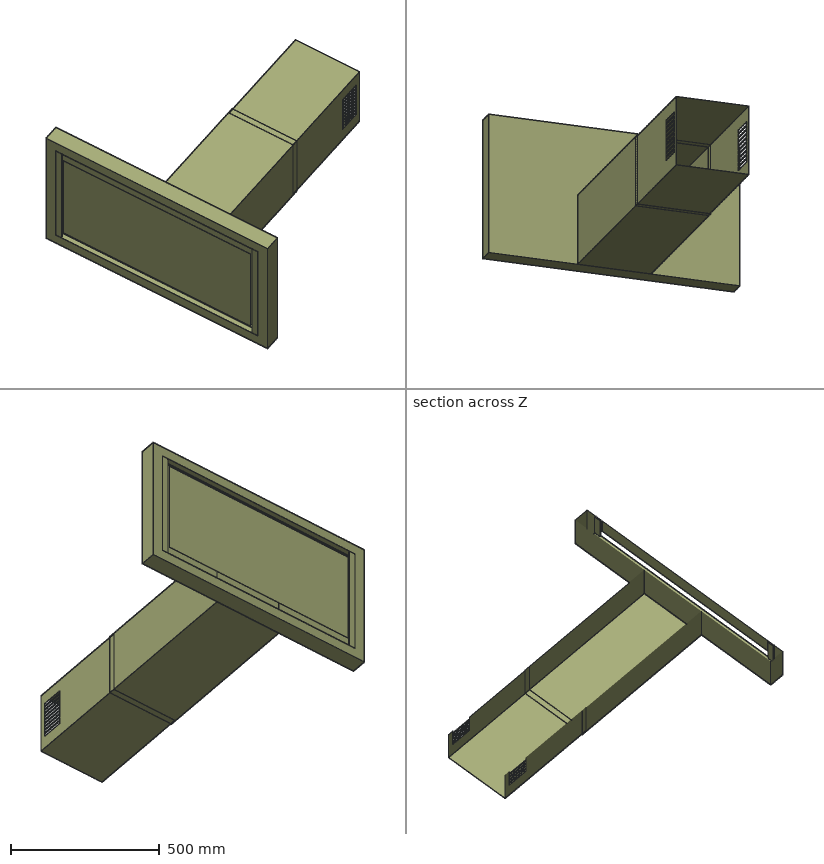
import cadquery as cq

overall_length = 1027.0
sheet = 1.0

canopy_width = 898.0
canopy_height = 500.0
canopy_depth = 61.0

canopy_rim = 40.0
lip_depth = 20.0
strip_width = 24.0
strip_thickness = 6.0

panel_width = 758.0
panel_height = 360.0

lower_duct_width = 263.0
lower_duct_height = 251.0
lower_duct_end = 648.0
duct_overlap = 21.0
duct_clearance = 0.5

slot_count = 10
slot_height = 10.0
slot_length = 82.0
slot_end_margin = 21.0
vent_height = 145.0
vent_middle = 127.0

opening_width = canopy_width - 2 * canopy_rim
opening_height = canopy_height - 2 * canopy_rim
canopy_middle = canopy_height / 2
duct_middle = lower_duct_height / 2
upper_duct_width = lower_duct_width - 2 * (sheet + duct_clearance)
upper_duct_height = lower_duct_height - 2 * (sheet + duct_clearance)
upper_duct_start = lower_duct_end - duct_overlap
slot_pitch = (vent_height - slot_height) / (slot_count - 1)


def block(width, height, y_start, y_end, z_middle):
    """Box centred on X = 0 and on z_middle, running from y_start to y_end."""
    depth = y_end - y_start
    return cq.Workplane("XY").box(width, depth, height).translate((0, y_start + depth / 2, z_middle))


def tube(width, height, y_start, y_end, z_middle):
    """Rectangular sheet-metal tube along Y, open at both ends."""
    outside = block(width, height, y_start, y_end, z_middle)
    inside = block(width - 2 * sheet, height - 2 * sheet, y_start, y_end, z_middle)
    return outside.cut(inside)


def make_canopy():
    """Hollow sheet-metal box with a closed back and a rectangular opening in its face."""
    cavity_width = canopy_width - 2 * sheet
    cavity_height = canopy_height - 2 * sheet
    outside = block(canopy_width, canopy_height, 0, canopy_depth, canopy_middle)
    cavity = block(cavity_width, cavity_height, sheet, canopy_depth - sheet, canopy_middle)
    opening = block(opening_width, opening_height, 0, sheet, canopy_middle)
    return outside.cut(cavity).cut(opening)


def make_opening_frame():
    """Frame lining the opening: deep lips above and below, joined by flat strips at the sides."""
    clear_width = opening_width - 2 * strip_width
    clear_height = opening_height - 2 * sheet
    outside = block(opening_width, opening_height, 0, lip_depth, canopy_middle)
    between_strips = block(clear_width, clear_height, 0, strip_thickness, canopy_middle)
    behind_strips = block(opening_width, clear_height, strip_thickness, lip_depth, canopy_middle)
    return outside.cut(between_strips).cut(behind_strips)


def make_panel():
    """Flat sheet panel, flush with the canopy face."""
    return block(panel_width, panel_height, 0, sheet, canopy_middle)


def make_lower_duct():
    """Duct standing on the back of the canopy."""
    return tube(lower_duct_width, lower_duct_height, canopy_depth, lower_duct_end, duct_middle)


def make_upper_duct():
    """Duct that slides into the lower duct, with vent slots through both sides."""
    duct = tube(upper_duct_width, upper_duct_height, upper_duct_start, overall_length, duct_middle)
    slot_end = overall_length - slot_end_margin
    slot_start = slot_end - slot_length
    for index in range(slot_count):
        slot_middle = vent_middle + (index - (slot_count - 1) / 2) * slot_pitch
        duct = duct.cut(block(upper_duct_width, slot_height, slot_start, slot_end, slot_middle))
    return duct


canopy = make_canopy()
opening_frame = make_opening_frame()
panel = make_panel()
lower_duct = make_lower_duct()
upper_duct = make_upper_duct()

result = cq.Compound.makeCompound(
    [canopy.val(), opening_frame.val(), panel.val(), lower_duct.val(), upper_duct.val()]
)